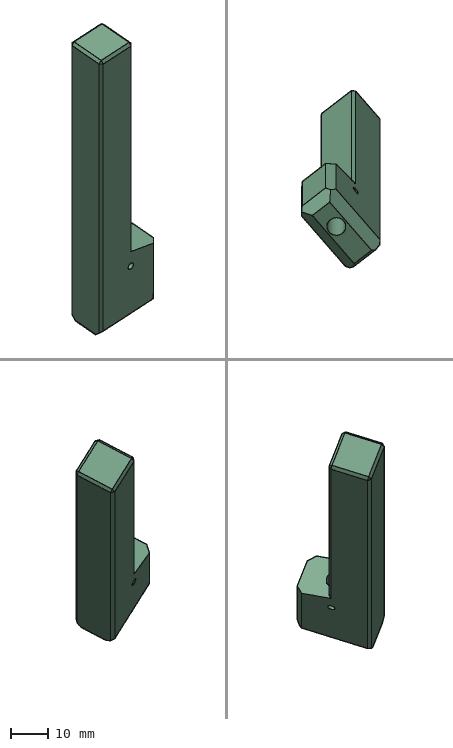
import cadquery as cq
import math

bar_width = 12.0
bar_depth = 12.0
height = 100.0
bar_chamfer = 0.8

foot_depth = 21.5
foot_shoulder_height = 25.2
foot_slope = 15.0
foot_back_chamfer = 2.0
base_chamfer = 3.0
base_front_chamfer = bar_chamfer

bore_diameter = 5.0
bore_y = 12.0
pin_diameter = 2.0
pin_y = 11.1
pin_z = 20.0

foot_shoulder_y = bar_depth - bar_chamfer
foot_slope_drop = (foot_depth - foot_shoulder_y) * math.tan(math.radians(foot_slope))
foot_back_height = foot_shoulder_height - foot_slope_drop


def make_bar():
    """Square bar with its long edges and upper rim chamfered."""
    block = cq.Workplane("XY").box(bar_width, bar_depth, height, centered=(True, False, False))
    return block.edges("|Z or >Z").chamfer(bar_chamfer)


def make_foot():
    """Foot with a sloping shoulder, flush with the front and sides of the bar."""
    profile = [
        (0, 0),
        (foot_depth, 0),
        (foot_depth, foot_back_height),
        (foot_shoulder_y, foot_shoulder_height),
        (0, foot_shoulder_height),
    ]
    foot = cq.Workplane("YZ").polyline(profile).close().extrude(bar_width / 2, both=True)
    foot = foot.faces("<Y").edges("|Z").chamfer(bar_chamfer)
    return foot.faces(">Y").edges("|Z").chamfer(foot_back_chamfer)


def base_envelope():
    """Prism pair whose intersection bevels the underside: wide at the sides and back, narrow in front."""
    half_width = bar_width / 2
    across = [
        (-half_width, height),
        (-half_width, base_chamfer),
        (base_chamfer - half_width, 0),
        (half_width - base_chamfer, 0),
        (half_width, base_chamfer),
        (half_width, height),
    ]
    along = [
        (0, height),
        (0, base_front_chamfer),
        (base_front_chamfer, 0),
        (foot_depth - base_chamfer, 0),
        (foot_depth, base_chamfer),
        (foot_depth, height),
    ]
    across_prism = cq.Workplane("XZ").polyline(across).close().extrude(-foot_depth)
    along_prism = cq.Workplane("YZ").polyline(along).close().extrude(half_width, both=True)
    return across_prism.intersect(along_prism)


def cut_holes(body):
    """Upright bore rising to the foot shoulder, and a cross hole for a pin."""
    bore = cq.Workplane("XY").center(0, bore_y).circle(bore_diameter / 2).extrude(foot_shoulder_height)
    pin_hole = cq.Workplane("YZ").center(pin_y, pin_z).circle(pin_diameter / 2).extrude(bar_width / 2, both=True)
    return body.cut(bore).cut(pin_hole)


body = make_bar().union(make_foot())
result = cut_holes(body.intersect(base_envelope()))